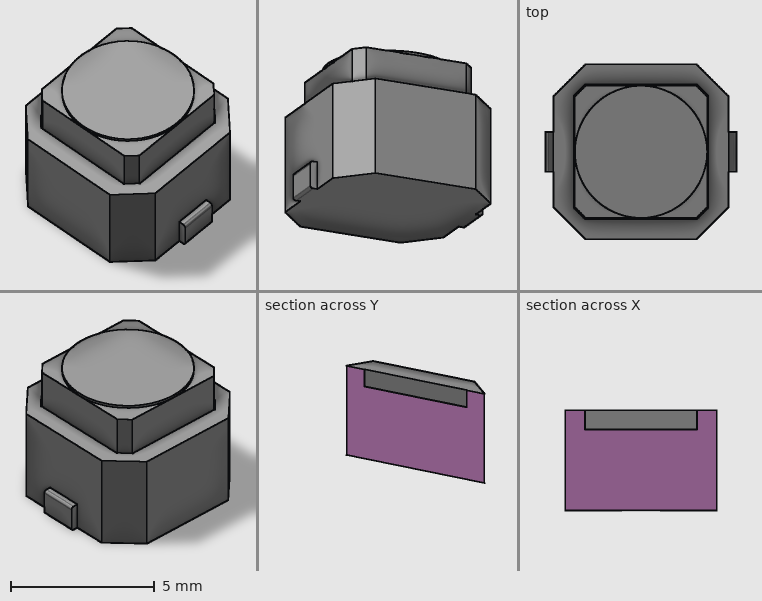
import cadquery as cq

total_length = 6.65
body_width = 6.1
body_height = 3.5
body_chamfer = 1.12

plunger_width = 4.6
plunger_chamfer = 0.37
total_height = 5.0
disc_height = 0.1
disc_radius = plunger_width / 2
pocket_width = 4.69
pocket_chamfer = 0.4
pocket_depth = 0.665

terminal_width = 1.39
terminal_height = 1.0
terminal_round = 0.1
terminal_reach = (total_length - body_width) / 2

plunger_top = total_height - disc_height
pocket_floor = body_height - pocket_depth


def chamfered_block(length, width, chamfer, bottom, top):
    """Centred upright block with its four vertical edges chamfered."""
    block = cq.Workplane("XY").workplane(offset=bottom).rect(length, width).extrude(top - bottom)
    return block.edges("|Z").chamfer(chamfer)


def terminal(side):
    """Terminal block on the -X (side=-1) or +X (side=1) face, rounded along its outer edges."""
    center_x = side * (body_width + terminal_reach) / 2
    block = cq.Workplane("XY").center(center_x, 0).rect(terminal_reach, terminal_width).extrude(terminal_height)
    outer_face = ">X" if side > 0 else "<X"
    return block.faces(outer_face).edges("|Y").fillet(terminal_round)


body = chamfered_block(body_width, body_width, body_chamfer, 0, body_height)

pocket = chamfered_block(pocket_width, pocket_width, pocket_chamfer, pocket_floor, body_height)
plunger = chamfered_block(plunger_width, plunger_width, plunger_chamfer, pocket_floor, plunger_top)
disc = cq.Workplane("XY").workplane(offset=plunger_top).circle(disc_radius).extrude(disc_height)

result = body.cut(pocket).union(plunger).union(disc)
for side in (-1, 1):
    result = result.union(terminal(side))